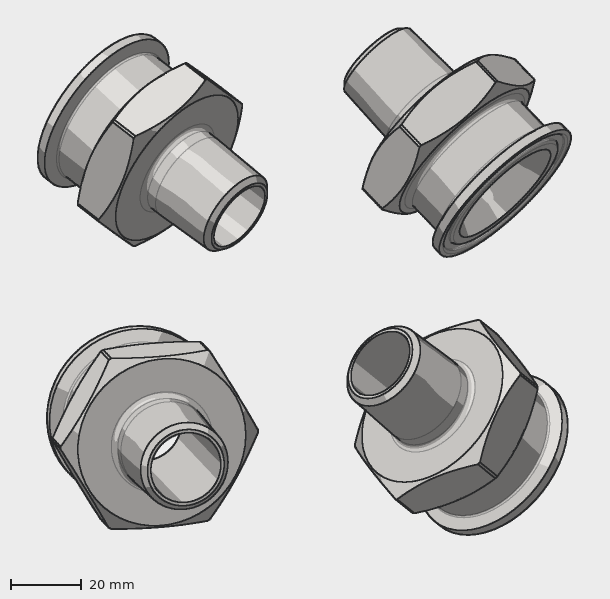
import cadquery as cq
import math

rim_end = 2.8
hex_start = 17.3
hex_end = 30.65
taper_start = 35.3
overall_length = 55.55

flange_radius = 50.4 / 2
flange_back_angle = 20.0
neck_radius = 42.6 / 2
neck_round = 0.65
collar_round = 1.5

groove_radius = 21.8
groove_bottom_round = 1.15
groove_lip_round = 0.8
groove_wall_length = 0.4
groove_wall_draft = 20.0

hex_sides = 6
across_flats = 50.8
corner_radius = 29.1
hex_chamfer_length = 2.5
hex_chamfer_angle = 30.0

spigot_radius = 26.95 / 2
taper_rate = 1 / 32
tip_chamfer = 1.55

mouth_radius = 34.7 / 2
bore_radius = 20.65 / 2
funnel_length = 14.55


def revolve_about_axis(profile):
    """Turn a closed (x, radius) profile a full revolution about the X axis."""
    return profile.close().revolve(360, (0, 0, 0), (1, 0, 0))


def flange_and_neck():
    """Clamp flange with a sloping back, running down to the neck."""
    slope = math.radians(flange_back_angle)
    neck_start = rim_end + (flange_radius - neck_radius) * math.tan(slope)

    tangent_length = neck_round * math.tan((math.pi / 2 - slope) / 2)
    round_start = (
        neck_start - tangent_length * math.sin(slope),
        neck_radius + tangent_length * math.cos(slope),
    )
    round_end = (neck_start + tangent_length, neck_radius)

    profile = (
        cq.Workplane("XY")
        .lineTo(0, flange_radius)
        .lineTo(rim_end, flange_radius)
        .lineTo(*round_start)
        .tangentArcPoint(round_end, relative=False)
        .lineTo(hex_start - collar_round, neck_radius)
        .radiusArc((hex_start, neck_radius + collar_round), -collar_round)
        .lineTo(hex_start, 0)
    )
    return revolve_about_axis(profile)


def hexagon():
    """Hexagon with turned corners and a conical chamfer at both ends."""
    across_corners = across_flats / math.cos(math.pi / hex_sides)
    prism = (
        cq.Workplane("YZ", origin=(hex_start, 0, 0))
        .polygon(hex_sides, across_corners)
        .extrude(hex_end - hex_start)
    )
    face_radius = corner_radius - hex_chamfer_length / math.tan(math.radians(hex_chamfer_angle))
    envelope = (
        cq.Workplane("XY")
        .moveTo(hex_start, 0)
        .lineTo(hex_start, face_radius)
        .lineTo(hex_start + hex_chamfer_length, corner_radius)
        .lineTo(hex_end - hex_chamfer_length, corner_radius)
        .lineTo(hex_end, face_radius)
        .lineTo(hex_end, 0)
    )
    return prism.intersect(revolve_about_axis(envelope))


def spigot():
    """Tapered spigot with a rounded root and a chamfered tip."""
    taper_end = overall_length - tip_chamfer
    taper_end_radius = spigot_radius - (taper_end - taper_start) * taper_rate
    profile = (
        cq.Workplane("XY")
        .moveTo(hex_end, 0)
        .lineTo(hex_end, spigot_radius + collar_round)
        .radiusArc((hex_end + collar_round, spigot_radius), -collar_round)
        .lineTo(taper_start, spigot_radius)
        .lineTo(taper_end, taper_end_radius)
        .lineTo(overall_length, taper_end_radius - tip_chamfer)
        .lineTo(overall_length, 0)
    )
    return revolve_about_axis(profile)


def bore():
    """Funnel narrowing from the clamp face to a straight bore."""
    profile = (
        cq.Workplane("XY")
        .lineTo(0, mouth_radius)
        .lineTo(funnel_length, bore_radius)
        .lineTo(overall_length, bore_radius)
        .lineTo(overall_length, 0)
    )
    return revolve_about_axis(profile)


def gasket_groove():
    """Ring groove with a round bottom, tangent drafted walls and rounded lips."""
    draft = math.radians(groove_wall_draft)

    bottom_half_width = groove_bottom_round * math.cos(draft)
    wall_half_width = bottom_half_width + groove_wall_length * math.sin(draft)
    mouth_half_width = wall_half_width + groove_lip_round * math.cos(draft)
    lip_depth = groove_lip_round * (1 - math.sin(draft))
    wall_depth = lip_depth + groove_wall_length * math.cos(draft)
    depth = wall_depth + groove_bottom_round * (1 - math.sin(draft))

    profile = (
        cq.Workplane("XY")
        .moveTo(0, groove_radius - mouth_half_width)
        .radiusArc((lip_depth, groove_radius - wall_half_width), groove_lip_round)
        .lineTo(wall_depth, groove_radius - bottom_half_width)
        .threePointArc((depth, groove_radius), (wall_depth, groove_radius + bottom_half_width))
        .lineTo(lip_depth, groove_radius + wall_half_width)
        .radiusArc((0, groove_radius + mouth_half_width), groove_lip_round)
    )
    return revolve_about_axis(profile)


body = flange_and_neck().union(hexagon()).union(spigot())
result = body.cut(bore()).cut(gasket_groove())